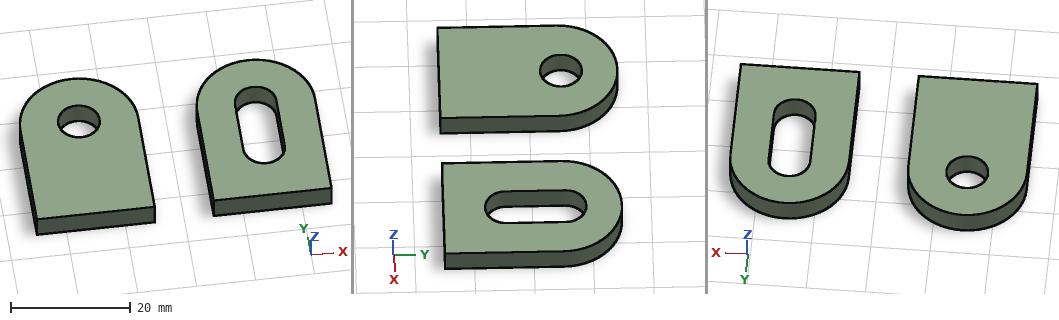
import cadquery as cq

plate_width = 20.0
plate_length = 30.0
plate_thickness = 4.0
end_radius = plate_width / 2
straight_length = plate_length - end_radius

plate_gap = 10.0
plate_pitch = plate_width + plate_gap

opening_width = 7.0
tip_margin = 6.0
slot_length = 17.0
hole_y = plate_length - tip_margin - opening_width / 2
slot_y = plate_length - tip_margin - slot_length / 2


def plate_blank(center_x):
    """Flat plate with a square end at Y = 0 and a full round end toward +Y."""
    return (
        cq.Workplane("XY", origin=(center_x, 0, 0))
        .moveTo(-end_radius, 0)
        .lineTo(end_radius, 0)
        .lineTo(end_radius, straight_length)
        .threePointArc((0, plate_length), (-end_radius, straight_length))
        .close()
        .extrude(plate_thickness)
    )


def make_hole_plate(center_x):
    """Plate with a round through hole near its round end."""
    hole = (
        cq.Workplane("XY", origin=(center_x, hole_y, 0))
        .circle(opening_width / 2)
        .extrude(plate_thickness)
    )
    return plate_blank(center_x).cut(hole).solids()


def make_slot_plate(center_x):
    """Plate with a round-ended through slot along Y."""
    slot = (
        cq.Workplane("XY", origin=(center_x, slot_y, 0))
        .slot2D(slot_length, opening_width, angle=90)
        .extrude(plate_thickness)
    )
    return plate_blank(center_x).cut(slot).solids()


hole_plate = make_hole_plate(-plate_pitch / 2)
slot_plate = make_slot_plate(plate_pitch / 2)

result = cq.Compound.makeCompound([hole_plate.val(), slot_plate.val()])